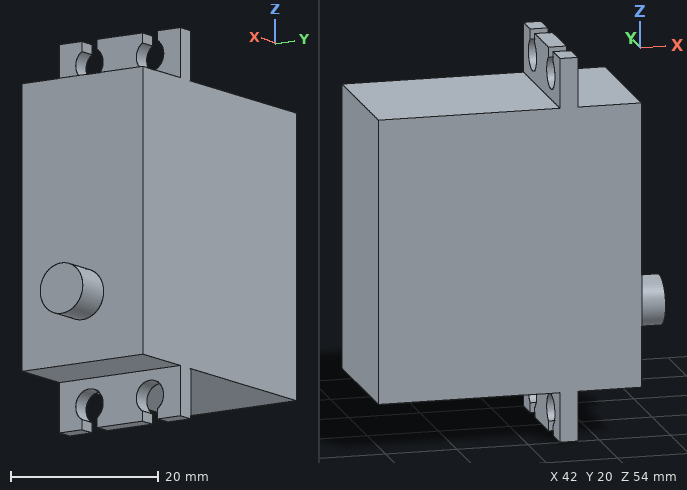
import cadquery as cq

case_length = 37.0
width = 20.0
case_height = 40.0

ear_span = 54.0
ear_start = 25.5
ear_thickness = 2.55

hole_diameter = 4.5
hole_spacing = 10.0
hole_edge_distance = 3.3
slot_width = 2.5

shaft_diameter = 7.0
shaft_length = 5.0
shaft_base_distance = 9.5
shaft_z = shaft_base_distance - case_height / 2


def keyhole(y, end):
    """Cutter for one slot; end is +1 for the upper ear, -1 for the lower."""
    hole_z = end * (ear_span / 2 - hole_edge_distance)
    plane = cq.Workplane("YZ", origin=(ear_start, 0, 0))
    hole = plane.center(y, hole_z).circle(hole_diameter / 2).extrude(ear_thickness)
    slot = (
        plane.center(y, hole_z + end * hole_edge_distance / 2)
        .rect(slot_width, hole_edge_distance)
        .extrude(ear_thickness)
    )
    return hole.union(slot)


case = cq.Workplane("YZ").rect(width, case_height).extrude(case_length)

ears = (
    cq.Workplane("YZ", origin=(ear_start, 0, 0))
    .rect(width, ear_span)
    .extrude(ear_thickness)
)
for end in (1, -1):
    for side in (1, -1):
        ears = ears.cut(keyhole(side * hole_spacing / 2, end))

shaft = (
    cq.Workplane("YZ", origin=(case_length, 0, shaft_z))
    .circle(shaft_diameter / 2)
    .extrude(shaft_length)
)

result = case.union(ears).union(shaft)